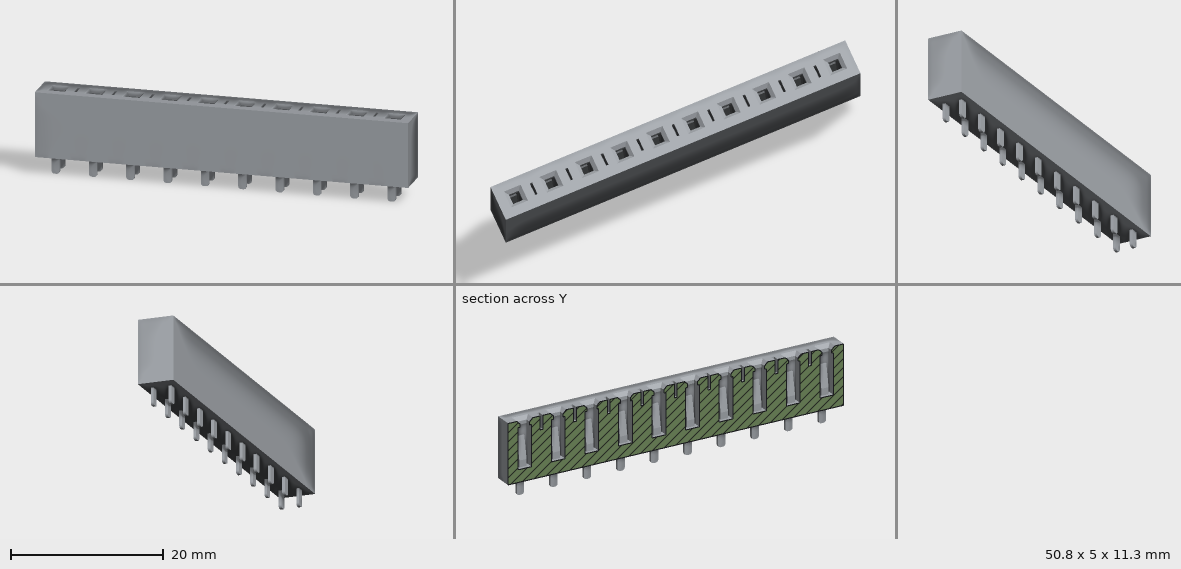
import cadquery as cq

POSITIONS = 10
PITCH = 5.08
HOUSING_LENGTH = POSITIONS * PITCH
HOUSING_WIDTH = 5.0
OVERALL_HEIGHT = 11.3
PIN_LENGTH = 2.4
HOUSING_HEIGHT = OVERALL_HEIGHT - PIN_LENGTH

LEAD_IN_SIZE = 2.4
LEAD_IN_DEPTH = 0.5
BORE_SIZE = 1.4
CAVITY_LENGTH = 2.0
CAVITY_WIDTH = 2.5
CAVITY_TOP_DEPTH = 1.0
CAVITY_FLOOR_DEPTH = 7.0

CONTACT_WIDTH = 1.1
CONTACT_GAP = 0.8
LEAF_ROOT_GAP = 2.0
LEAF_TOP_DEPTH = 2.8
LEAF_SLOPE_HEIGHT = 3.2

SLOT_THICKNESS = 0.35
SLOT_LENGTH = 1.75
SLOT_DEPTH = 2.0

PIN_ROW_SPACING = 2.5
PIN_THICKNESS = 0.4
TIP_RADIUS = 0.4


def row_positions(count):
    """Points at one pitch along X, centred on the housing."""
    first_x = -(count - 1) * PITCH / 2
    return [(first_x + i * PITCH, 0) for i in range(count)]


def make_housing():
    return cq.Workplane("XY").box(
        HOUSING_LENGTH, HOUSING_WIDTH, HOUSING_HEIGHT, centered=(True, True, False)
    )


def pocket(x_size, y_size, depth):
    """Straight-sided cutter reaching down from the top of the housing."""
    return cq.Workplane("XY").workplane(offset=HOUSING_HEIGHT).rect(x_size, y_size).extrude(-depth)


def make_socket():
    lead_in = (
        cq.Workplane("XY")
        .workplane(offset=HOUSING_HEIGHT)
        .rect(LEAD_IN_SIZE, LEAD_IN_SIZE)
        .workplane(offset=-LEAD_IN_DEPTH)
        .rect(BORE_SIZE, BORE_SIZE)
        .loft(combine=True)
    )
    bore = pocket(BORE_SIZE, BORE_SIZE, CAVITY_TOP_DEPTH)
    cavity = (
        cq.Workplane("XY")
        .workplane(offset=HOUSING_HEIGHT - CAVITY_TOP_DEPTH)
        .rect(CAVITY_LENGTH, CAVITY_WIDTH)
        .extrude(CAVITY_TOP_DEPTH - CAVITY_FLOOR_DEPTH)
    )
    leaf = make_leaf()
    return lead_in.union(bore).union(cavity.cut(leaf).cut(leaf.mirror("XZ")))


def make_leaf():
    """Contact leaf on the +Y wall of a cavity, standing on the cavity floor."""
    wall_y = CAVITY_WIDTH / 2
    root_y = LEAF_ROOT_GAP / 2
    tip_y = CONTACT_GAP / 2
    floor_z = HOUSING_HEIGHT - CAVITY_FLOOR_DEPTH
    top_z = HOUSING_HEIGHT - LEAF_TOP_DEPTH
    outline = [
        (wall_y, floor_z),
        (wall_y, top_z),
        (root_y, top_z),
        (tip_y, top_z - LEAF_SLOPE_HEIGHT),
        (tip_y, floor_z),
    ]
    return cq.Workplane("YZ").polyline(outline).close().extrude(CONTACT_WIDTH / 2, both=True)


def make_pin():
    """Flat pin hanging below the housing, with both corners of its tip rounded."""
    return (
        cq.Workplane("XY")
        .rect(CONTACT_WIDTH, PIN_THICKNESS)
        .extrude(-PIN_LENGTH)
        .faces("<Z")
        .edges("|Y")
        .fillet(TIP_RADIUS)
    )


def cut_sockets(body):
    socket = make_socket()
    for x, y in row_positions(POSITIONS):
        body = body.cut(socket.translate((x, y, 0)))
    return body


def cut_slots(body):
    slot = pocket(SLOT_THICKNESS, SLOT_LENGTH, SLOT_DEPTH)
    for x, y in row_positions(POSITIONS - 1):
        body = body.cut(slot.translate((x, y, 0)))
    return body


def add_pins(body):
    pin = make_pin()
    for row_y in (-PIN_ROW_SPACING / 2, PIN_ROW_SPACING / 2):
        for x, y in row_positions(POSITIONS):
            body = body.union(pin.translate((x, y + row_y, 0)))
    return body


result = add_pins(cut_slots(cut_sockets(make_housing())))